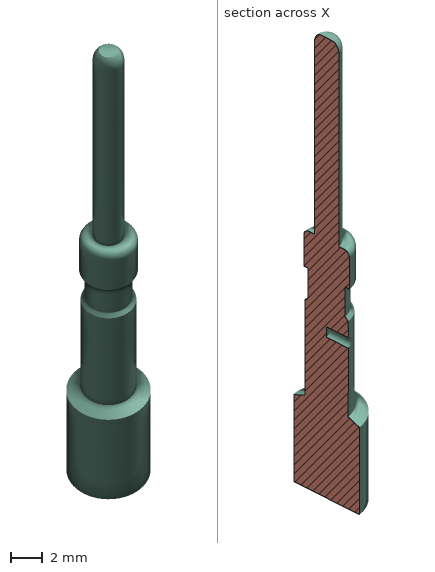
import cadquery as cq
import math

base_radius = 2.65
barrel_radius = 1.75
groove_radius = 1.5
collar_radius = 1.85
pin_radius = 1.0

base_edge_z = 7.1
barrel_bottom_z = 7.5
groove_bottom_z = 15.5
collar_bottom_z = 17.9
collar_top_z = 20.97
overall_height = 37.4

barrel_chamfer = barrel_radius - groove_radius
collar_fillet = 0.5
tip_height = 0.8

hole_diameter = 0.8
hole_z = 13.5


def arc_point(centre_r, centre_z, radius, angle):
    """Point at an angle above horizontal on an arc in the radius-height plane."""
    return (centre_r + radius * math.cos(angle), centre_z + radius * math.sin(angle))


def contact_profile():
    """Half outline of the contact, closed along the Z axis."""
    fillet_r = collar_radius - collar_fillet
    fillet_z = collar_top_z - collar_fillet
    fillet_middle = arc_point(fillet_r, fillet_z, collar_fillet, math.pi / 4)

    tip_z = overall_height - tip_height
    tip_angle = math.asin(tip_height / pin_radius)
    tip_middle = arc_point(0, tip_z, pin_radius, tip_angle / 2)
    tip_end = arc_point(0, tip_z, pin_radius, tip_angle)

    return (
        cq.Workplane("XZ")
        .moveTo(0, 0)
        .lineTo(base_radius, 0)
        .lineTo(base_radius, base_edge_z)
        .lineTo(barrel_radius, barrel_bottom_z)
        .lineTo(barrel_radius, groove_bottom_z - barrel_chamfer)
        .lineTo(groove_radius, groove_bottom_z)
        .lineTo(groove_radius, collar_bottom_z)
        .lineTo(collar_radius, collar_bottom_z)
        .lineTo(collar_radius, fillet_z)
        .threePointArc(fillet_middle, (fillet_r, collar_top_z))
        .lineTo(pin_radius, collar_top_z)
        .lineTo(pin_radius, tip_z)
        .threePointArc(tip_middle, tip_end)
        .lineTo(0, overall_height)
        .close()
    )


def inspection_hole():
    """Cylinder that cuts the inspection hole, running from the axis towards +Y."""
    plane = cq.Plane(origin=(0, 0, hole_z), xDir=(1, 0, 0), normal=(0, 1, 0))
    return cq.Workplane(plane).circle(hole_diameter / 2).extrude(base_radius)


contact = contact_profile().revolve(360, (0, 0, 0), (0, 1, 0))
result = contact.cut(inspection_hole())